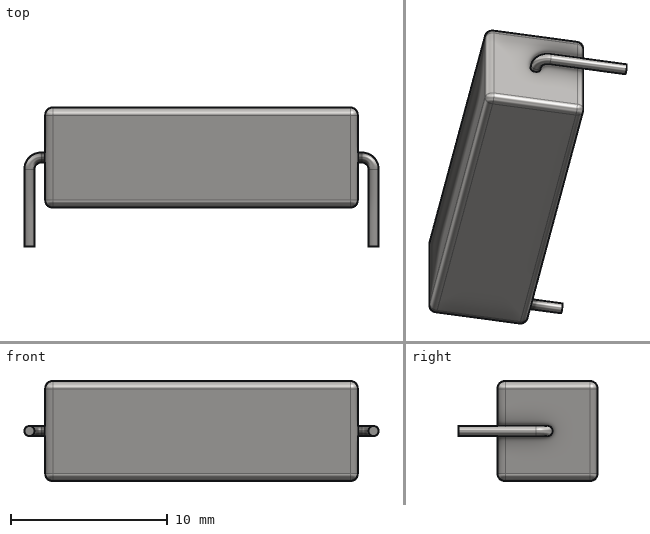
import cadquery as cq

total_length = 22.65
total_depth = 8.9

body_length = 20.0
body_side = 6.4
edge_radius = 0.5

wire_diameter = 0.65
bend_radius = 0.75

lead_x = (total_length - wire_diameter) / 2
lead_end_y = body_side / 2 - total_depth
bend_start_x = lead_x - bend_radius
root_x = body_length / 2 - wire_diameter


def make_body():
    """Square bar with every edge rounded."""
    return cq.Workplane("XY").box(body_length, body_side, body_side).edges().fillet(edge_radius)


def make_right_lead():
    """Wire leaving the +X end at its centre and turning to -Y."""
    path = (
        cq.Workplane("XY")
        .moveTo(root_x, 0)
        .lineTo(bend_start_x, 0)
        .tangentArcPoint((lead_x, -bend_radius), relative=False)
        .lineTo(lead_x, lead_end_y)
    )
    return cq.Workplane("YZ", origin=(root_x, 0, 0)).circle(wire_diameter / 2).sweep(path)


right_lead = make_right_lead()
left_lead = right_lead.mirror("YZ")

result = make_body().union(right_lead).union(left_lead)